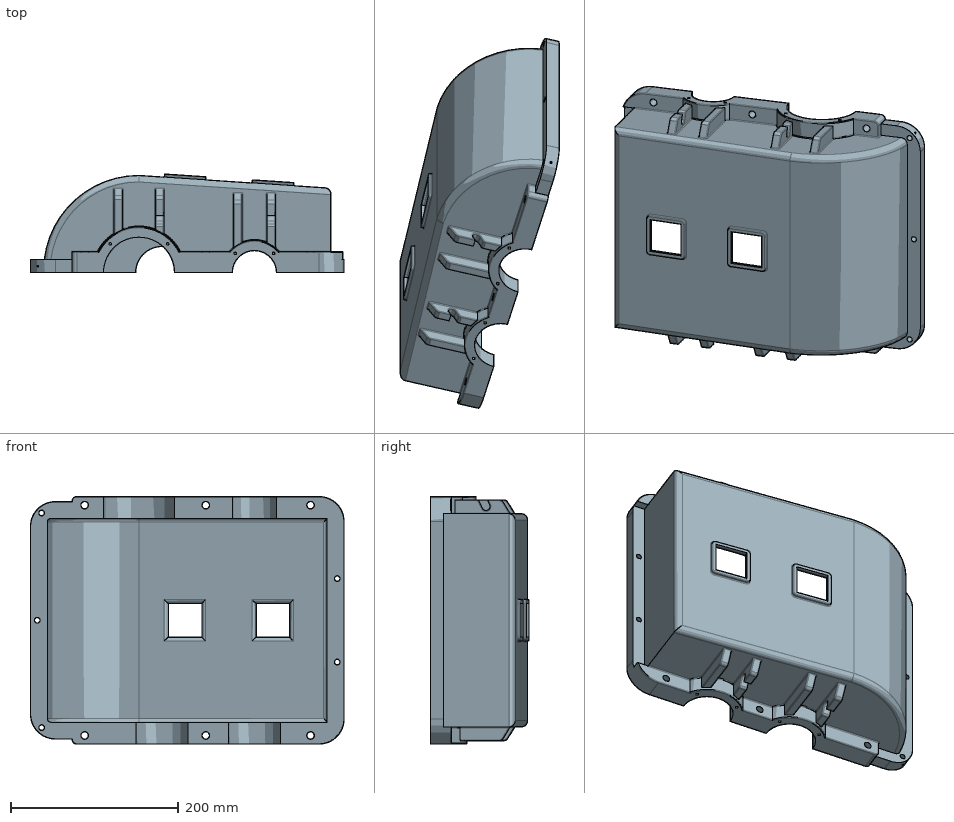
import cadquery as cq
import math


flange_length = 375
flange_width = 296.0
flange_height = 15.8
flange_corner = 30
lip_height = 25.0
lip_start = 50.0
front_step = 6.0
step_round = 5.5

shell_half_width = 127.5
shell_right = 359.2
crown_x = 129.8
crown_height = 116.2
nose_radius = 114.0
roof_angle = 3.8
wall = 4.5
side_wall = 5.5
outer_round = 8.0
inner_round = 4.5

window_x = (185.0, 290.0)
window_size = 40.0
window_flare = 5.0
pad_height = 3.8

upper_seats = [(crown_x, 42.5, 24.8, 101.0), (267.8, 26.2, 20.0, 95.2)]
lower_seats = [(157.0, 31.0, 20.0, 101.0), (267.8, 31.0, 20.0, 95.2)]
seat_wall = 12.5
screw_angles = (45, 135)
screw_diameter = 3.0
screw_depth = 10.0

rib_width = 10.0
rib_face = 144.0
rib_taper_length = 10.0
rib_taper_round = 5.5
hook_y = 66.5
hook_z = 136.0
hook_radius = 5.0
hook_angle = 65
hook_mouth_round = 3.5

edge_round = 1.0

large_bolt_diameter = 8.5
large_bolt_x = (65.0, 209.5, 335.0)
large_bolt_z = 137.5
small_bolt_diameter = 6.5
small_bolt_points = [(8.2, 0), (13.5, 128.2), (13.5, -128.2), (366.8, 50.0), (366.8, -50.0)]

pinhole_diameter = 2.0
pinhole_depth = 2.0

half_width = flange_width / 2
nose_center_y = crown_height - nose_radius
lip_depth = half_width - shell_half_width
cavity_half_width = shell_half_width - side_wall
rib_height = rib_face - shell_half_width
lowest_rib_tip = min(tip for _, _, _, tip in upper_seats + lower_seats)


def slab(start_x, width, height):
    """Slab on the split face from start_x to the right end, centered across the housing."""
    length = flange_length - start_x
    return cq.Workplane("XY").box(length, height, width).translate((start_x + length / 2, height / 2, 0))


def flange_plate(height):
    """Flange outline: rounded corners, with a narrower front end."""
    narrow = slab(0, flange_width - 2 * front_step, height).edges("|Y").fillet(flange_corner)
    wide = slab(lip_start, flange_width, height).edges("|Y and >X").fillet(flange_corner)
    wide = wide.edges("|Y and <X").fillet(step_round)
    return narrow.union(wide)


def roof_height(x):
    """Height of the outer roof plane at the given X."""
    return crown_height - (x - crown_x) * math.tan(math.radians(roof_angle))


def hull(inset, right_x, half_depth, edge_radius):
    """Round-nosed solid under the sloping roof, moved in from the outer skin by the inset."""
    radius = nose_radius - inset
    crown_y = nose_center_y + radius
    nose_x = crown_x - math.sqrt(radius**2 - nose_center_y**2)
    middle = math.radians(135)
    arc_middle = (crown_x + radius * math.cos(middle), nose_center_y + radius * math.sin(middle))
    body = (
        cq.Workplane("XY")
        .workplane(offset=-half_depth)
        .moveTo(nose_x, 0)
        .threePointArc(arc_middle, (crown_x, crown_y))
        .lineTo(right_x, roof_height(right_x) - inset)
        .lineTo(right_x, 0)
        .close()
        .extrude(2 * half_depth)
    )
    side_rims = body.faces("|Z").edges("(not <Y) and (not >X)")
    right_rim = body.edges("|Z and >X").edges(">Y")
    return body.newObject(side_rims.vals() + right_rim.vals()).fillet(edge_radius)


def disk(center_x, radius):
    """Round plug along Z between the +Z wall and the flange edge."""
    return cq.Workplane("XY", origin=(center_x, 0, shell_half_width)).circle(radius).extrude(lip_depth)


def side_strip(seats):
    """Lip with the bearing seat bosses, standing out from the +Z wall."""
    length = flange_length - lip_start
    lip_space = cq.Workplane("XY", origin=(lip_start, 0, shell_half_width))
    lip_space = lip_space.rect(length, lip_height, centered=False).extrude(lip_depth)
    strip = flange_plate(lip_height).intersect(lip_space)
    for center, bore, _, _ in seats:
        radius = bore + seat_wall
        boss = disk(center, radius)
        strip = strip.union(boss.intersect(slab(center - radius, flange_width, radius)))
    return strip.faces(">Z").edges("not <Y").fillet(edge_round)


def hook_slot(rib_center):
    """Slanted round-ended slot that opens through the rib face toward the split face."""
    plane = cq.Workplane("YZ", origin=(rib_center - rib_width / 2, hook_y, hook_z))
    plane = plane.transformed(rotate=(0, 0, 90 - hook_angle))
    round_end = plane.circle(hook_radius).extrude(rib_width)
    mouth = plane.rect(2 * hook_radius, 2 * rib_height, centered=(True, False)).extrude(rib_width)
    return round_end.union(mouth)


def rib(center, tip, hooked):
    """Upright rib on the +Z wall with a tapered tip, rounded edges and, if hooked, a lifting slot."""
    body = (
        cq.Workplane("YZ", origin=(center - rib_width / 2, 0, 0))
        .moveTo(0, shell_half_width)
        .lineTo(tip, shell_half_width)
        .lineTo(tip - rib_taper_length, rib_face)
        .lineTo(0, rib_face)
        .close()
        .extrude(rib_width)
    )
    body = body.edges("|X and >Z").edges(">Y").fillet(rib_taper_round)
    if hooked:
        body = body.cut(hook_slot(center))
        mouth_edges = cq.selectors.BoxSelector(
            (center - rib_width, hook_y - 2 * rib_height, rib_face - edge_round),
            (center + rib_width, hook_y, rib_face + edge_round),
        )
        body = body.edges("|X").edges(mouth_edges).fillet(hook_mouth_round)
    return body.faces("|X").edges("(not <Z) and (not <Y)").fillet(edge_round)


def side_features(seats, hook_side):
    """Lip, bosses and ribs for the +Z wall; hook_side is the side of each seat with the hooked rib."""
    features = side_strip(seats)
    for center, _, offset, tip in seats:
        for side in (-1, 1):
            features = features.union(rib(center + side * offset, tip, side == hook_side))
    return features


def round_wall_corners(body, wall_z):
    """Body with rounds where the lip, bosses and ribs meet the wall at wall_z."""
    corner_edges = cq.selectors.BoxSelector(
        (lip_start + edge_round, flange_height + edge_round, wall_z - edge_round),
        (shell_right, lowest_rib_tip - rib_taper_length, wall_z + edge_round),
    )
    return body.edges(corner_edges).fillet(edge_round)


def seat_cutters(seats):
    """Tools for the bores through the +Z wall and the blind screw holes in the seat faces."""
    cutters = cq.Workplane("XY")
    for center, bore, _, _ in seats:
        bore_cutter = cq.Workplane("XY", origin=(center, 0, cavity_half_width - edge_round))
        cutters = cutters.add(bore_cutter.circle(bore).extrude(half_width))
        screw_circle = bore + seat_wall / 2
        for angle in screw_angles:
            x = center + screw_circle * math.cos(math.radians(angle))
            y = screw_circle * math.sin(math.radians(angle))
            screw_cutter = cq.Workplane("XY", origin=(x, y, half_width - screw_depth))
            cutters = cutters.add(screw_cutter.circle(screw_diameter / 2).extrude(screw_depth))
    return cutters.combine()


def roof_plane(x):
    """Workplane lying on the sloping roof at the given X."""
    angle = math.radians(roof_angle)
    return cq.Workplane(cq.Plane(
        origin=(x, roof_height(x), 0),
        xDir=(math.cos(angle), -math.sin(angle), 0),
        normal=(math.sin(angle), math.cos(angle), 0),
    ))


def add_window_pad(body, x):
    """Body with a raised square pad on the roof."""
    pad_size = window_size + 2 * window_flare
    pad = cq.Workplane("XY").rect(pad_size, pad_size).extrude(wall / 2 + pad_height)
    pad = pad.edges("|Z").fillet(window_flare)
    pad = pad.faces(">Z").edges().fillet(edge_round)
    base = roof_plane(x).workplane(offset=-wall / 2).plane
    body = body.union(cq.Workplane(pad.val().moved(base.location)))
    y = roof_height(x)
    base_edges = cq.selectors.BoxSelector(
        (x - pad_size, y - wall / 2, -pad_size),
        (x + pad_size, y + wall / 2, pad_size),
    )
    return body.edges(base_edges).fillet(edge_round)


def cut_window(body, x):
    """Body with a square window through pad and roof, flared on the inside."""
    opening = roof_plane(x).rect(window_size, window_size).extrude(2 * pad_height + wall, both=True)
    body = body.cut(opening)
    inner_y = roof_height(x) - wall
    inner_edges = cq.selectors.BoxSelector(
        (x - window_size, inner_y - wall / 2, -window_size),
        (x + window_size, inner_y + wall / 2, window_size),
    )
    return body.edges(inner_edges).fillet(window_flare)


def bolt_holes(points, diameter):
    """Hole tools through the flange along Y at the given (X, Z) points."""
    return cq.Workplane("XZ").pushPoints(points).circle(diameter / 2).extrude(-2 * lip_height)


def corner_pinholes():
    """Blind radial pinholes, halfway up the rounded front corners of the flange."""
    center_z = half_width - front_step - flange_corner
    axis = cq.Vector(-1, 0, 1).normalized()
    start = cq.Vector(flange_corner, flange_height / 2, center_z) + axis * (flange_corner - pinhole_depth)
    pinhole = cq.Solid.makeCylinder(pinhole_diameter / 2, 2 * pinhole_depth, start, axis)
    upper = cq.Workplane(pinhole)
    return upper.union(upper.mirror("XY"))


housing = flange_plate(flange_height).union(hull(0, shell_right, shell_half_width, outer_round))
housing = housing.union(side_features(upper_seats, hook_side=1))
housing = housing.union(side_features(lower_seats, hook_side=-1).mirror("XY"))
for wall_z in (-shell_half_width, shell_half_width):
    housing = round_wall_corners(housing, wall_z)
for window in window_x:
    housing = add_window_pad(housing, window)

housing = housing.cut(hull(wall, shell_right - wall, cavity_half_width, inner_round))
housing = housing.cut(seat_cutters(upper_seats))
housing = housing.cut(seat_cutters(lower_seats).mirror("XY"))
for window in window_x:
    housing = cut_window(housing, window)

large_bolt_points = [(x, side * large_bolt_z) for x in large_bolt_x for side in (-1, 1)]
housing = housing.cut(bolt_holes(large_bolt_points, large_bolt_diameter))
housing = housing.cut(bolt_holes(small_bolt_points, small_bolt_diameter))
result = housing.cut(corner_pinholes())